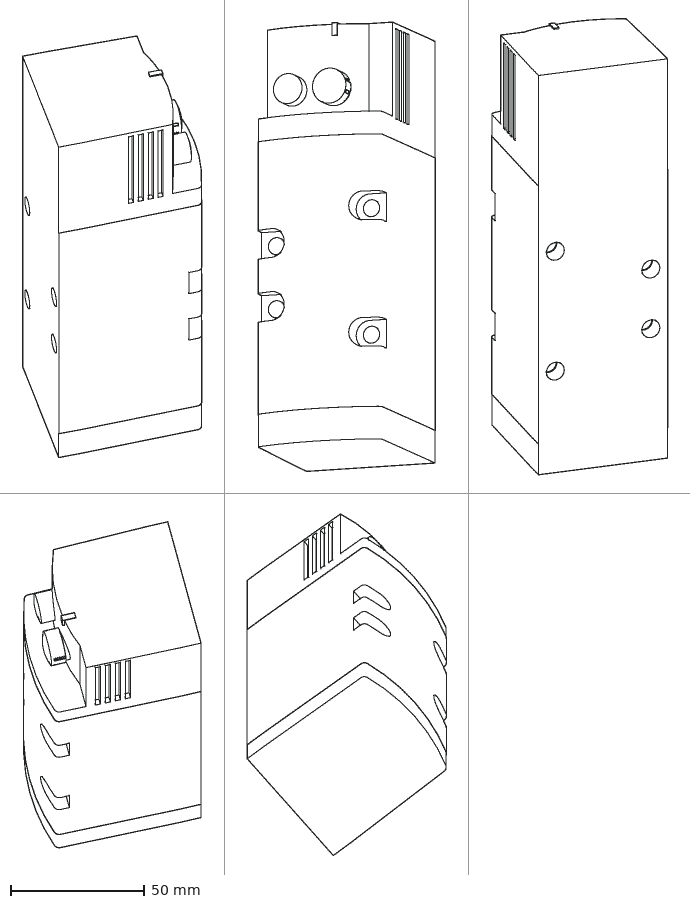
import cadquery as cq
import math

WIDTH = 51.6
DEPTH = 60.0
LENGTH = 161.2
HALF_WIDTH = WIDTH / 2

BASE_DEPTH = 8.2
DRAFT_ANGLE = 1.0
CROWN_RADIUS = 75.8
EDGE_RADIUS = 2.1
CAP_INSET = 0.1

MARKER_RAISE = 0.5
BLOCK_TOP = LENGTH - MARKER_RAISE
LOWER_CAP_TOP = 12.4
UPPER_CAP_BOTTOM = 116.2
STEP_Z = 125.0

PANEL_FLAT_Y = 44.3
PANEL_CROWN_Y = 48.2
PANEL_CROWN_X = 4.8
PANEL_CROWN_START_X = -15.6
PANEL_CROWN_HALF_SPAN = PANEL_CROWN_X - PANEL_CROWN_START_X

HOLE_DIAMETER = 6.5
HOLE_MOUTH_DIAMETER = 7.1
HOLE_X = 19.0
HOLE_MID_Z = 65.0
LEFT_HOLE_SPACING = 48.2
RIGHT_HOLE_SPACING = 24.0
SLOT_WIDTH = 11.0
SLOT_END_X = 12.9
SLOT_FLOOR_Y = 50.8

GROOVE_COUNT = 4
GROOVE_WIDTH = 2.0
GROOVE_PITCH = 2 * GROOVE_WIDTH
GROOVE_DEPTH = 2.1
GROOVE_BOTTOM = 124.5
GROOVE_TOP = 158.8
FIRST_GROOVE_Y = 28.2

CONTROL_Z = 136.2
KNOB_X = -3.2
KNOB_DIAMETER = 13.4
KNOB_STEM_DIAMETER = 11.8
KNOB_RIM_Y = 53.8
KNOB_TOP_Y = 55.3
KNOB_NOTCH_WIDTH = 1.1
KNOB_NOTCH_DEPTH = 0.5
KNOB_NOTCH_TOP_Y = 52.7
KNOB_NOTCH_ANGLE = 20.0
BUTTON_X = 13.5
BUTTON_DIAMETER = 11.5
BUTTON_RIM_Y = 53.4
BUTTON_TOP_Y = 54.3

MARKER_WIDTH = 2.1
MARKER_BACK_Y = 43.0
MARKER_BOTTOM = 156.4


def box(x_range, y_range, z_range):
    """Axis-aligned box between the given limits."""
    sizes = [high - low for low, high in (x_range, y_range, z_range)]
    corner = (x_range[0], y_range[0], z_range[0])
    return cq.Workplane("XY").box(*sizes, centered=False).translate(corner)


def block(inset, bottom, top):
    """Length of the block, its sides and crown set in from the full section."""
    draft = math.tan(math.radians(DRAFT_ANGLE))
    half_base = HALF_WIDTH - inset
    crown_y = DEPTH - inset
    half_shoulder = half_base - draft * (crown_y - BASE_DEPTH)
    crown_sag = CROWN_RADIUS - math.sqrt(CROWN_RADIUS**2 - half_shoulder**2)
    shoulder_y = crown_y - crown_sag
    shoulder_zone = cq.selectors.BoxSelector((-WIDTH, DEPTH / 2, bottom), (WIDTH, DEPTH, top))
    return (
        cq.Workplane("XY")
        .workplane(offset=bottom)
        .moveTo(-half_base, 0)
        .lineTo(half_base, 0)
        .lineTo(half_base, BASE_DEPTH)
        .lineTo(half_shoulder, shoulder_y)
        .threePointArc((0, crown_y), (-half_shoulder, shoulder_y))
        .lineTo(-half_base, BASE_DEPTH)
        .close()
        .extrude(top - bottom)
        .edges("|Z")
        .edges(shoulder_zone)
        .fillet(EDGE_RADIUS)
    )


def panel_clearance():
    """Material removed in front of the control panel, down to its flat and crown."""
    crown_end_x = PANEL_CROWN_X + PANEL_CROWN_HALF_SPAN
    return (
        cq.Workplane("XY")
        .workplane(offset=STEP_Z)
        .moveTo(-WIDTH, PANEL_FLAT_Y)
        .lineTo(PANEL_CROWN_START_X, PANEL_FLAT_Y)
        .threePointArc((PANEL_CROWN_X, PANEL_CROWN_Y), (crown_end_x, PANEL_FLAT_Y))
        .lineTo(WIDTH, PANEL_FLAT_Y)
        .lineTo(WIDTH, DEPTH)
        .lineTo(-WIDTH, DEPTH)
        .close()
        .extrude(LENGTH - STEP_Z)
    )


def disc(x, z, diameter, y_start, y_end):
    """Cylinder along Y."""
    base_centre = cq.Vector(x, y_start, z)
    along_y = cq.Vector(0, 1, 0)
    return cq.Workplane(cq.Solid.makeCylinder(diameter / 2, y_end - y_start, base_centre, along_y))


def domed_disc(x, diameter, y_start, y_rim, y_top):
    """Cylinder along Y at control height whose +Y end is a shallow dome."""
    radius = diameter / 2
    sag = y_top - y_rim
    sphere_radius = (radius**2 + sag**2) / (2 * sag)
    half_angle = math.asin(radius / sphere_radius) / 2
    arc_mid = (
        sphere_radius * math.sin(half_angle),
        y_top - sphere_radius * (1 - math.cos(half_angle)),
    )
    return (
        cq.Workplane("XY")
        .moveTo(0, y_start)
        .lineTo(radius, y_start)
        .lineTo(radius, y_rim)
        .threePointArc(arc_mid, (0, y_top))
        .close()
        .revolve(360, (0, 0, 0), (0, 1, 0))
        .translate((x, 0, CONTROL_Z))
    )


def mounting_hole(side, z):
    """Through hole, wider across the base strip, with a round-ended slot out through one side."""
    slot_centre_x = side * (SLOT_END_X + SLOT_WIDTH / 2)
    slot_end = disc(slot_centre_x, z, SLOT_WIDTH, SLOT_FLOOR_Y, DEPTH)
    slot_run = box(
        sorted((slot_centre_x, side * HALF_WIDTH)),
        (SLOT_FLOOR_Y, DEPTH),
        (z - SLOT_WIDTH / 2, z + SLOT_WIDTH / 2),
    )
    bore = disc(side * HOLE_X, z, HOLE_DIAMETER, 0, DEPTH)
    mouth = disc(side * HOLE_X, z, HOLE_MOUTH_DIAMETER, 0, BASE_DEPTH)
    return bore.union(mouth).union(slot_end).union(slot_run)


def grip_groove(side, y):
    """Groove cut to a constant depth below the drafted side wall."""
    draft = math.tan(math.radians(DRAFT_ANGLE))
    wall_x = HALF_WIDTH - CAP_INSET - draft * (y - BASE_DEPTH)
    return box(
        sorted((side * (wall_x - GROOVE_DEPTH), side * HALF_WIDTH)),
        (y - GROOVE_WIDTH / 2, y + GROOVE_WIDTH / 2),
        (GROOVE_BOTTOM, GROOVE_TOP),
    )


def marker():
    """L-shaped strip over the top face and down the panel."""
    x_range = (KNOB_X - MARKER_WIDTH / 2, KNOB_X + MARKER_WIDTH / 2)
    top_leg = box(x_range, (MARKER_BACK_Y, PANEL_CROWN_Y), (BLOCK_TOP, LENGTH))
    front_leg = box(x_range, (PANEL_FLAT_Y, PANEL_CROWN_Y), (MARKER_BOTTOM, LENGTH))
    return top_leg.union(front_leg)


def make_housing():
    """Valve block with end caps, control panel, fixed button and marker."""
    body = block(0, LOWER_CAP_TOP, UPPER_CAP_BOTTOM)
    body = body.union(block(CAP_INSET, 0, LOWER_CAP_TOP))
    body = body.union(block(CAP_INSET, UPPER_CAP_BOTTOM, BLOCK_TOP))
    body = body.cut(panel_clearance())
    for side, spacing in ((-1, LEFT_HOLE_SPACING), (1, RIGHT_HOLE_SPACING)):
        for z in (HOLE_MID_Z - spacing / 2, HOLE_MID_Z + spacing / 2):
            body = body.cut(mounting_hole(side, z))
        for index in range(GROOVE_COUNT):
            body = body.cut(grip_groove(side, FIRST_GROOVE_Y + index * GROOVE_PITCH))
    body = body.union(domed_disc(BUTTON_X, BUTTON_DIAMETER, PANEL_FLAT_Y, BUTTON_RIM_Y, BUTTON_TOP_Y))
    body = body.union(marker())
    return body.cut(disc(KNOB_X, CONTROL_Z, KNOB_STEM_DIAMETER, PANEL_FLAT_Y, DEPTH))


def make_knob():
    """Domed knob with paired side notches, its stem seated in the panel."""
    knob = domed_disc(KNOB_X, KNOB_DIAMETER, PANEL_CROWN_Y, KNOB_RIM_Y, KNOB_TOP_Y)
    knob = knob.union(disc(KNOB_X, CONTROL_Z, KNOB_STEM_DIAMETER, PANEL_FLAT_Y, PANEL_CROWN_Y))
    radius = KNOB_DIAMETER / 2
    notch = box(
        (radius - KNOB_NOTCH_DEPTH, radius + KNOB_NOTCH_DEPTH),
        (PANEL_CROWN_Y, KNOB_NOTCH_TOP_Y),
        (-KNOB_NOTCH_WIDTH / 2, KNOB_NOTCH_WIDTH / 2),
    )
    for side_angle in (0, 180):
        for offset in (-KNOB_NOTCH_ANGLE, KNOB_NOTCH_ANGLE):
            turned = notch.rotate((0, 0, 0), (0, 1, 0), side_angle + offset)
            knob = knob.cut(turned.translate((KNOB_X, 0, CONTROL_Z)))
    return knob


housing = make_housing()
knob = make_knob()

result = cq.Compound.makeCompound([housing.solids().val(), knob.solids().val()])